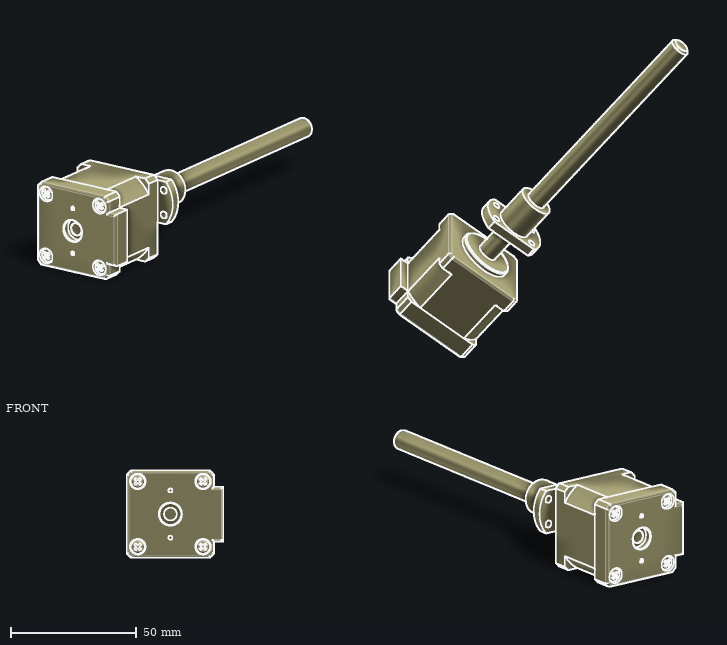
import cadquery as cq
import math


motor_width = 35.0
rear_cap_end = 8.0
stator_end = 27.8
motor_end = 34.5
cap_corner_radius = 23.5
cap_edge_radius = 1.0
stator_corner_radius = 20.7
connector_reach = 21.15
connector_width = 21.9
pilot_radius = 11.0
pilot_end = 36.7
pilot_chamfer = 0.5

rear_bore_radius = 4.3
rear_bore_depth = 2.9
rear_bore_chamfer = 0.3
dimple_radius = 0.8
dimple_depth = 1.0
dimple_offset = 9.4

screw_offset = 13.0
counterbore_radius = 3.11
counterbore_depth = 2.5
screw_head_radius = 2.8
screw_head_height = 2.2
screw_head_rounding = 1.1
shank_radius = 1.5
recess_length = 3.2
recess_width = 0.8
recess_depth = 1.5
recess_turn = 45

lead_screw_radius = 4.0
lead_screw_tip = 159.6
tip_chamfer = 1.0
journal_radius = 2.5
journal_start = 2.4

flange_start = 49.8
flange_thickness = 3.8
flange_end = flange_start + flange_thickness
flange_radius = 13.49
flange_height = 17.9
nut_end = 67.5
nut_radius = 7.0
nut_hole_radius = 1.5
nut_hole_circle = 10.4
nut_hole_angle = 30


def plane_at(y):
    """Workplane at the given Y, with +Y as its normal and X as its local x."""
    return cq.Workplane(cq.Plane(origin=(0, y, 0), xDir=(1, 0, 0), normal=(0, 1, 0)))


def rod(radius, start, end, x=0, z=0):
    """Cylinder along Y from start to end, with its axis at (x, z)."""
    return plane_at(start).circle(radius).extrude(end - start).translate((x, 0, z))


def turned_square(corner_radius, start, end):
    """Square bar along Y whose corners are turned to a radius about the motor axis."""
    square = plane_at(start).rect(motor_width, motor_width).extrude(end - start)
    return square.intersect(rod(corner_radius, start, end))


def make_housing():
    """Stator with turned-off corners, front cap and round pilot."""
    stator = turned_square(stator_corner_radius, rear_cap_end, stator_end)
    front_cap = turned_square(cap_corner_radius, stator_end, motor_end)
    front_cap = front_cap.faces(">Y").edges().fillet(cap_edge_radius)
    pilot = rod(pilot_radius, motor_end, pilot_end).faces(">Y").chamfer(pilot_chamfer)
    housing = stator.union(front_cap).union(pilot)
    housing = housing.cut(rod(journal_radius, rear_cap_end, stator_end))
    return housing.cut(rod(lead_screw_radius, stator_end, pilot_end))


def make_rear_cap():
    """Rear cap with the connector block on its +X side."""
    connector = cq.Workplane("XY").box(
        connector_reach, rear_cap_end, connector_width, centered=(False, False, True)
    )
    cap = turned_square(cap_corner_radius, 0, rear_cap_end).union(connector)
    cap = cap.faces("<Y").edges().fillet(cap_edge_radius)

    cap = cap.cut(rod(journal_radius, 0, rear_cap_end))
    bore = rod(rear_bore_radius, 0, rear_bore_depth)
    bore_mouth = (
        plane_at(0)
        .circle(rear_bore_radius + rear_bore_chamfer)
        .workplane(offset=rear_bore_chamfer)
        .circle(rear_bore_radius)
        .loft()
    )
    cap = cap.cut(bore).cut(bore_mouth)

    for z in (-dimple_offset, dimple_offset):
        cap = cap.cut(rod(dimple_radius, 0, dimple_depth, z=z))
    for x, z in screw_places:
        cap = cap.cut(rod(counterbore_radius, 0, counterbore_depth, x, z))
        cap = cap.cut(rod(shank_radius, 0, rear_cap_end, x, z))
    return cap


def make_screw(x, z):
    """Pan-head screw with a cross recess, its head resting on the counterbore floor."""
    head_top = counterbore_depth - screw_head_height
    head = rod(screw_head_radius, head_top, counterbore_depth)
    head = head.faces("<Y").edges().fillet(screw_head_rounding)
    screw = head.union(rod(shank_radius, counterbore_depth, rear_cap_end))
    for turn in (recess_turn, recess_turn + 90):
        slot = plane_at(head_top).rect(recess_length, recess_width).extrude(recess_depth)
        screw = screw.cut(slot.rotate((0, 0, 0), (0, 1, 0), turn))
    return screw.translate((x, 0, z))


def make_lead_screw():
    thread = rod(lead_screw_radius, stator_end, lead_screw_tip)
    thread = thread.faces(">Y").chamfer(tip_chamfer)
    return thread.union(rod(journal_radius, journal_start, stator_end))


def make_nut():
    """Round nut whose flange has two flats and four mounting holes."""
    flats = plane_at(flange_start).rect(2 * flange_radius, flange_height).extrude(flange_thickness)
    flange = rod(flange_radius, flange_start, flange_end).intersect(flats)
    nut = flange.union(rod(nut_radius, flange_end, nut_end))
    nut = nut.cut(rod(lead_screw_radius, flange_start, nut_end))
    for side in (0, 180):
        for tilt in (-nut_hole_angle, nut_hole_angle):
            angle = math.radians(side + tilt)
            x = nut_hole_circle * math.cos(angle)
            z = nut_hole_circle * math.sin(angle)
            nut = nut.cut(rod(nut_hole_radius, flange_start, flange_end, x, z))
    return nut


screw_places = [(x, z) for x in (-screw_offset, screw_offset) for z in (-screw_offset, screw_offset)]

housing = make_housing()
rear_cap = make_rear_cap()
screws = [make_screw(x, z) for x, z in screw_places]
lead_screw = make_lead_screw()
nut = make_nut()

result = cq.Compound.makeCompound(
    [
        housing.val(),
        rear_cap.val(),
        *[screw.val() for screw in screws],
        lead_screw.val(),
        nut.val(),
    ]
)